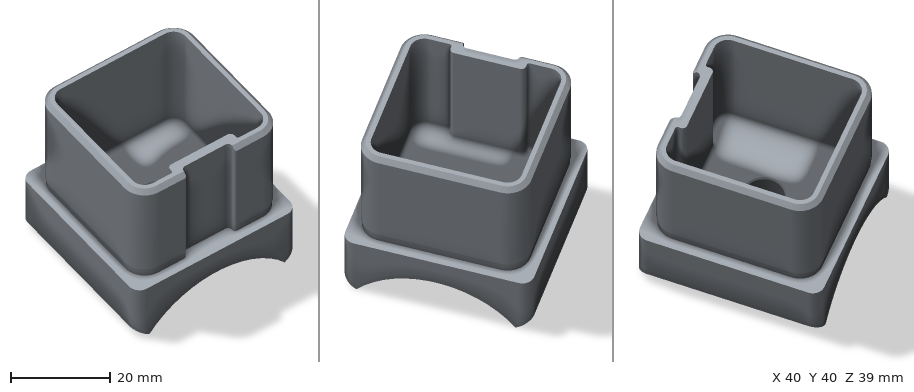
import cadquery as cq

base_side = 40.0
base_corner_radius = 2.5
base_depth = 13.95
shoulder_depth = 11.7
saddle_crown_depth = 6.0
saddle_half_width = 16.85

cup_side = 35.85
cup_corner_radius = 5.0
cup_height = 25.0
wall = 2.0
rim_chamfer = 1.0
neck_height = 2.0
neck_inset = 0.2
floor_level = -1.5
floor_fillet = 0.95

groove_width = 12.0
groove_depth = wall
groove_fillet = 1.0
groove_edge_fillet = 0.5
bulge_width = groove_width + 2 * wall

hole_diameter = 8.5
hole_chamfer = 0.3

cavity_side = cup_side - 2 * wall
cavity_corner_radius = cup_corner_radius - wall


def rounded_block(side, corner_radius, bottom, top):
    """Square block with rounded vertical edges, centred on the Z axis."""
    block = cq.Workplane("XY").workplane(offset=bottom).rect(side, side).extrude(top - bottom)
    return block.edges("|Z").fillet(corner_radius)


def wall_strip(outer_x, width, bottom, top):
    """Block reaching inward from outer_x by the groove depth, centred on Y = 0."""
    strip = cq.Workplane("XY").workplane(offset=bottom)
    strip = strip.center(outer_x - groove_depth / 2, 0).rect(groove_depth, width)
    return strip.extrude(top - bottom)


def round_corners_at(body, x, half_width):
    """Round the vertical edges of the body at the given X and at Y = +/- half_width."""
    margin = 0.05
    lower = (x - margin, -half_width - margin, -base_depth)
    upper = (x + margin, half_width + margin, cup_height)
    corners = body.edges("|Z").edges(cq.selectors.BoxSelector(lower, upper))
    return corners.fillet(groove_edge_fillet)


def make_base():
    """Rounded square block with a saddle arch along X and sloped outer feet."""
    half_side = base_side / 2
    profile = (
        cq.Workplane("YZ")
        .moveTo(-half_side, 0)
        .lineTo(-half_side, -shoulder_depth)
        .lineTo(-saddle_half_width, -base_depth)
        .threePointArc((0, -saddle_crown_depth), (saddle_half_width, -base_depth))
        .lineTo(half_side, -shoulder_depth)
        .lineTo(half_side, 0)
        .close()
        .extrude(half_side, both=True)
    )
    return profile.intersect(rounded_block(base_side, base_corner_radius, -base_depth, 0))


def make_cup_body():
    """Solid cup outline: inset neck, full-width body with chamfered rim, outer groove."""
    neck = rounded_block(cup_side - 2 * neck_inset, cup_corner_radius - neck_inset, 0, neck_height)
    body = rounded_block(cup_side, cup_corner_radius, neck_height, cup_height)
    body = body.faces(">Z").edges().chamfer(rim_chamfer)

    groove = wall_strip(cup_side / 2, groove_width, 0, cup_height)
    groove = groove.edges("|Z and <X").fillet(groove_fillet)
    neck = round_corners_at(neck.cut(groove), cup_side / 2 - neck_inset, groove_width / 2)
    body = round_corners_at(body.cut(groove), cup_side / 2, groove_width / 2)
    return neck.union(body)


def make_cavity():
    """Space inside the cup, narrowed by the bulge and rounded along the floor."""
    cavity = rounded_block(cavity_side, cavity_corner_radius, floor_level, cup_height)
    bulge = wall_strip(cavity_side / 2, bulge_width, floor_level, cup_height)
    bulge = bulge.edges("|Z and <X").fillet(groove_fillet)
    cavity = cavity.cut(bulge)
    cavity = round_corners_at(cavity, cavity_side / 2, bulge_width / 2)
    return cavity.faces("<Z").edges().fillet(floor_fillet)


def make_hole():
    """Through hole with a small chamfer where it meets the floor."""
    radius = hole_diameter / 2
    return (
        cq.Workplane("XZ")
        .moveTo(0, -base_depth)
        .lineTo(radius, -base_depth)
        .lineTo(radius, floor_level - hole_chamfer)
        .lineTo(radius + hole_chamfer, floor_level)
        .lineTo(0, floor_level)
        .close()
        .revolve(360, (0, 0, 0), (0, 1, 0))
    )


result = make_base().union(make_cup_body()).cut(make_cavity()).cut(make_hole())